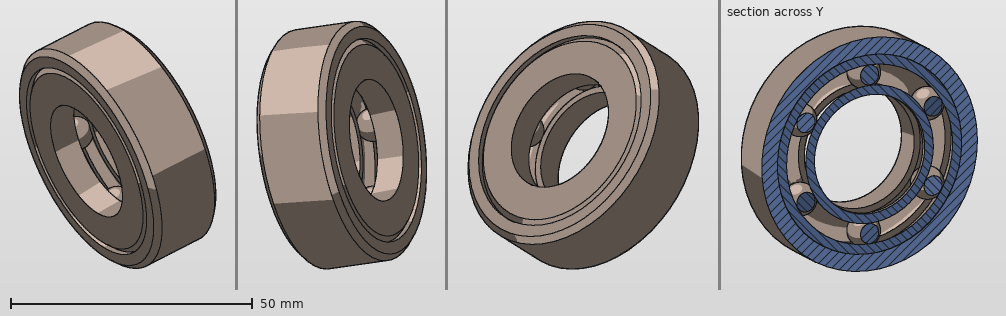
import cadquery as cq

outer_radius = 25.0
width = 15.9
chamfer = 1.25
washer_radius = 21.25
bore_radius = 12.7

ball_count = 6
ball_radius = 3.5
pitch_radius = (bore_radius + washer_radius) / 2
washer_gap = 4.0
washer_thickness = (width - washer_gap) / 2
first_ball_angle = 30.0


def make_tube(outer, inner, length, start_y):
    """Plain tube along +Y, starting at start_y."""
    return (
        cq.Workplane("XZ", origin=(0, start_y, 0))
        .circle(outer)
        .circle(inner)
        .extrude(-length)
    )


def make_outer_ring():
    """Sleeve around both washers, with chamfered outer edges."""
    sleeve = make_tube(outer_radius, washer_radius, width, -width / 2)
    largest_edges = cq.selectors.RadiusNthSelector(-1)
    return sleeve.edges("%CIRCLE").edges(largest_edges).chamfer(chamfer)


def make_race_groove():
    """Ring with a round section that follows the path of the balls."""
    return cq.Workplane(cq.Solid.makeTorus(pitch_radius, ball_radius, dir=cq.Vector(0, 1, 0)))


def make_front_washer():
    """Washer with a chamfered outer face and a ball groove in its inner face."""
    blank = make_tube(washer_radius, bore_radius, washer_thickness, -width / 2)
    largest_edges = cq.selectors.RadiusNthSelector(-1)
    chamfered = blank.faces("<Y").edges(largest_edges).chamfer(chamfer)
    return chamfered.cut(make_race_groove())


def make_balls():
    """Balls evenly spaced on the pitch circle, each a separate solid."""
    balls = []
    for index in range(ball_count):
        angle = first_ball_angle + index * 360.0 / ball_count
        ball = cq.Workplane("XY").sphere(ball_radius).translate((pitch_radius, 0, 0))
        balls.append(ball.rotate((0, 0, 0), (0, 1, 0), angle).val())
    return balls


outer_ring = make_outer_ring()
front_washer = make_front_washer()
back_washer = front_washer.mirror("XZ")
balls = make_balls()

result = cq.Compound.makeCompound([
    outer_ring.val(),
    front_washer.val(),
    back_washer.val(),
    *balls,
])